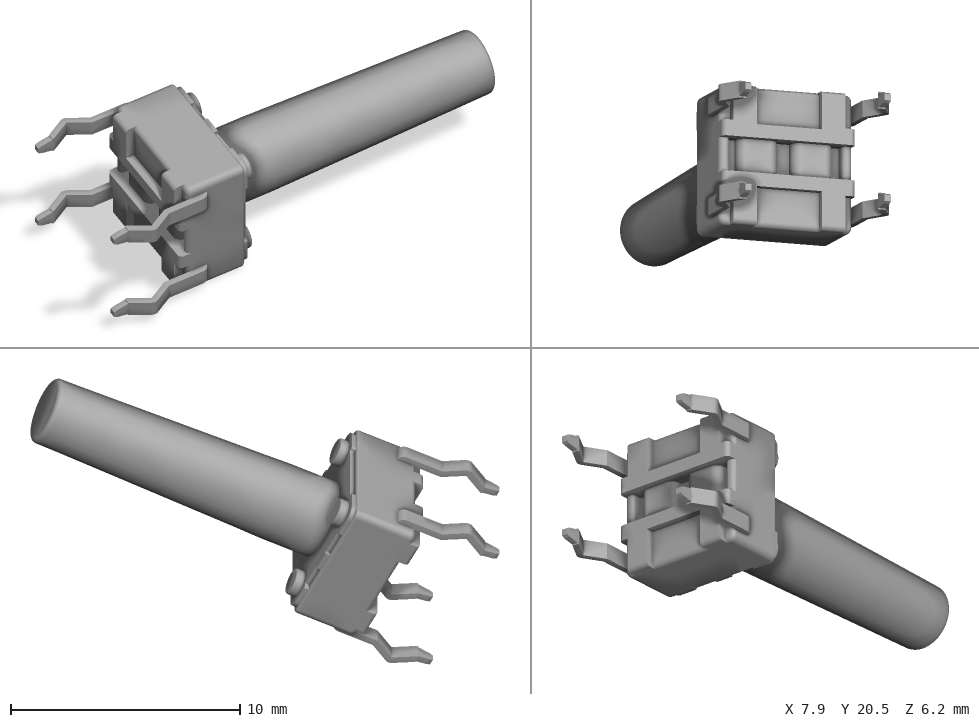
import cadquery as cq
import math


body_width = 6.2
body_depth = 3.3
corner_radius = 0.3
rear_edge_radius = 0.22
front_edge_radius = 0.13
half_width = body_width / 2

recess_depth = 0.4
wall_cut_depth = recess_depth + rear_edge_radius
side_recess_half_width = 1.52
side_recess_inner_z = 1.38
corner_recess_inner_x = 2.62
corner_recess_inner_z = 1.5
slot_half_height = 0.78

rib_inner_x = 0.34
rib_outer_x = 2.22
rib_edge_radius = 0.4
rib_edge_y = recess_depth + rib_edge_radius
groove_floor_y = 0.95
rail_inner_x = 2.64
rail_edge_radius = 0.18

plate_half_width = 3.0
plate_thickness = 0.2
plate_corner_radius = 0.5
plate_notch_depth = 0.2
plate_lobe_inner = 1.6
plate_tab_half_width = 0.44
plate_notch_radius = 0.09
plate_top_y = body_depth + plate_thickness
rivet_diameter = 1.2
rivet_height = 0.4
rivet_offset = 2.15
rivet_edge_radius = 0.08

button_diameter = 3.5
button_tip_diameter = 3.0
button_straight_end_y = 5.8
button_tip_y = 17.0
button_tip_radius = 0.2

leg_thickness = 0.3
leg_width = 0.75
leg_pitch_z = 4.5
leg_end_y = -3.5
leg_root_y = 1.37
leg_root_radius = 0.38
kink_apex_y = -1.75
kink_apex_x = 4.0
kink_apex_radius = 0.33
kink_angle = math.radians(30)
tip_start_y = -2.79
tip_shoulder_width = 0.64
tip_round_start_y = -3.33
tip_round_start_width = 0.44
tip_end_width = 0.28

SIDES = (-1, 1)


def box_between(x_range, y_range, z_range):
    """Axis-aligned box given by its two limits along each axis."""
    lows, highs = zip(x_range, y_range, z_range)
    sizes = [high - low for low, high in zip(lows, highs)]
    return cq.Workplane("XY").box(*sizes, centered=False).translate(lows)


def prism_along_y(width, y_start, y_end):
    """Square prism centred on the button axis."""
    return box_between(
        (-width / 2, width / 2),
        (y_start, y_end),
        (-width / 2, width / 2),
    )


def cylinder_along_y(diameter, y_start, y_end, x=0, z=0):
    axis_start = cq.Vector(x, y_start, z)
    direction = cq.Vector(0, 1, 0)
    return cq.Workplane(cq.Solid.makeCylinder(diameter / 2, y_end - y_start, axis_start, direction))


def rounded_block(y_start):
    """Housing-sized block from y_start to the button side, with rounded edges."""
    block = prism_along_y(body_width, y_start, body_depth)
    block = block.edges("|Y").fillet(corner_radius)
    block = block.faces("<Y").edges().fillet(rear_edge_radius)
    return block.faces(">Y").edges().fillet(front_edge_radius)


def recess_boxes():
    """Volumes of the slot, the two side recesses and the four corner recesses."""
    depth = (0, wall_cut_depth)
    slot = box_between((-half_width, half_width), depth, (-slot_half_height, slot_half_height))
    boxes = [slot]
    for z_side in SIDES:
        side_z = sorted((z_side * side_recess_inner_z, z_side * half_width))
        side_x = (-side_recess_half_width, side_recess_half_width)
        boxes.append(box_between(side_x, depth, side_z))
        corner_z = sorted((z_side * corner_recess_inner_z, z_side * half_width))
        for x_side in SIDES:
            corner_x = sorted((x_side * corner_recess_inner_x, x_side * half_width))
            boxes.append(box_between(corner_x, depth, corner_z))
    return boxes


def arc_middle(center, radius, angle_degrees):
    angle = math.radians(angle_degrees)
    return center[0] + radius * math.cos(angle), center[1] + radius * math.sin(angle)


def extrude_across_slot(profile):
    return profile.close().extrude(slot_half_height, both=True)


def centre_groove():
    """Groove between the two ribs, widening over their rounded edges."""
    flare_x = rib_inner_x + rib_edge_radius
    right_middle = arc_middle((flare_x, rib_edge_y), rib_edge_radius, 225)
    left_middle = arc_middle((-flare_x, rib_edge_y), rib_edge_radius, 315)
    profile = (
        cq.Workplane("XY")
        .moveTo(-flare_x, recess_depth)
        .lineTo(flare_x, recess_depth)
        .threePointArc(right_middle, (rib_inner_x, rib_edge_y))
        .lineTo(rib_inner_x, groove_floor_y)
        .lineTo(-rib_inner_x, groove_floor_y)
        .lineTo(-rib_inner_x, rib_edge_y)
        .threePointArc(left_middle, (-flare_x, recess_depth))
    )
    return extrude_across_slot(profile)


def outer_groove():
    """Groove between the +X rib and its edge rail, both with rounded edges."""
    rib_flare_x = rib_outer_x - rib_edge_radius
    rail_flare_x = rail_inner_x + rail_edge_radius
    rail_edge_y = recess_depth + rail_edge_radius
    rail_middle = arc_middle((rail_flare_x, rail_edge_y), rail_edge_radius, 225)
    rib_middle = arc_middle((rib_flare_x, rib_edge_y), rib_edge_radius, 315)
    profile = (
        cq.Workplane("XY")
        .moveTo(rib_flare_x, recess_depth)
        .lineTo(rail_flare_x, recess_depth)
        .threePointArc(rail_middle, (rail_inner_x, rail_edge_y))
        .lineTo(rail_inner_x, groove_floor_y)
        .lineTo(rib_outer_x, groove_floor_y)
        .lineTo(rib_outer_x, rib_edge_y)
        .threePointArc(rib_middle, (rib_flare_x, recess_depth))
    )
    return extrude_across_slot(profile)


def make_housing():
    """Rounded core standing behind the recesses, plus the pads left between them."""
    pads = rounded_block(0)
    for box in recess_boxes():
        pads = pads.cut(box)
    housing = rounded_block(recess_depth).union(pads)
    groove = outer_groove()
    return housing.cut(centre_groove()).cut(groove).cut(groove.mirror("YZ"))


def make_cover_plate():
    """Thin rounded plate, notched along each side, with a small tab in each Z side."""
    square = prism_along_y(2 * plate_half_width, body_depth, plate_top_y)
    thickness = (body_depth, plate_top_y)
    lobe_span = (-plate_lobe_inner, plate_lobe_inner)
    notched = square
    for side in SIDES:
        notch = sorted((side * (plate_half_width - plate_notch_depth), side * plate_half_width))
        notched = notched.cut(box_between(notch, thickness, lobe_span))
        notched = notched.cut(box_between(lobe_span, thickness, notch))
    notched = notched.edges("|Y").fillet(plate_notch_radius)
    tab_span = (-plate_tab_half_width, plate_tab_half_width)
    tabs = box_between(tab_span, thickness, (-plate_half_width, plate_half_width))
    rounded = square.edges("|Y").fillet(plate_corner_radius)
    return notched.intersect(rounded).union(tabs)


def make_rivet(x_side, z_side):
    head = cylinder_along_y(
        rivet_diameter,
        body_depth,
        plate_top_y + rivet_height,
        x_side * rivet_offset,
        z_side * rivet_offset,
    )
    return head.faces(">Y").edges().fillet(rivet_edge_radius)


def make_button():
    """Shaft with a straight root, a long taper and a rounded tip."""
    shaft = (
        cq.Workplane("XY")
        .moveTo(0, body_depth)
        .lineTo(button_diameter / 2, body_depth)
        .lineTo(button_diameter / 2, button_straight_end_y)
        .lineTo(button_tip_diameter / 2, button_tip_y)
        .lineTo(0, button_tip_y)
        .close()
        .revolve(360, (0, 0, 0), (0, 1, 0))
    )
    return shaft.faces(">Y").edges().fillet(button_tip_radius)


def leg_side_profile():
    """Bent strip seen along Z, rooted inside the housing's +X wall."""
    inner_x = half_width
    outer_x = inner_x + leg_thickness
    inner_apex_x = kink_apex_x - leg_thickness / math.cos(kink_angle)
    outer_rise = (kink_apex_x - outer_x) / math.tan(kink_angle)
    inner_rise = (inner_apex_x - inner_x) / math.tan(kink_angle)
    root_center = (outer_x - leg_root_radius, leg_root_y - leg_root_radius)
    strip = (
        cq.Workplane("XY")
        .moveTo(root_center[0], leg_root_y)
        .threePointArc(arc_middle(root_center, leg_root_radius, 45), (outer_x, root_center[1]))
        .lineTo(outer_x, kink_apex_y + outer_rise)
        .lineTo(kink_apex_x, kink_apex_y)
        .lineTo(outer_x, kink_apex_y - outer_rise)
        .lineTo(outer_x, leg_end_y)
        .lineTo(inner_x, leg_end_y)
        .lineTo(inner_x, kink_apex_y - inner_rise)
        .lineTo(inner_apex_x, kink_apex_y)
        .lineTo(inner_x, kink_apex_y + inner_rise)
        .lineTo(inner_x, wall_cut_depth)
        .lineTo(root_center[0], wall_cut_depth)
        .close()
        .extrude(leg_width / 2, both=True)
    )
    return strip.edges(">X").fillet(kink_apex_radius)


def leg_front_profile():
    """Outline of the strip seen along X, with its stepped and tapered tip."""
    half_outline = (
        (leg_root_y, leg_width / 2),
        (tip_start_y, leg_width / 2),
        (tip_start_y, tip_shoulder_width / 2),
        (tip_round_start_y, tip_round_start_width / 2),
        (leg_end_y, tip_end_width / 2),
    )
    mirrored = [(y, -z) for y, z in reversed(half_outline)]
    return cq.Workplane("YZ").polyline([*half_outline, *mirrored]).close().extrude(body_width)


def make_legs():
    leg = leg_side_profile().intersect(leg_front_profile())
    legs = []
    for z_side in SIDES:
        placed = leg.translate((0, 0, z_side * leg_pitch_z / 2))
        legs += [placed, placed.mirror("YZ")]
    return legs


result = make_housing().union(make_cover_plate()).union(make_button())
for x_side in SIDES:
    for z_side in SIDES:
        result = result.union(make_rivet(x_side, z_side))
for leg in make_legs():
    result = result.union(leg)